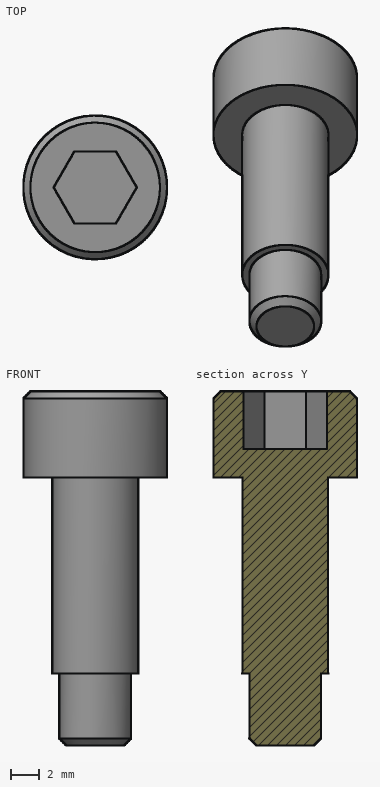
import cadquery as cq
import math

head_diameter = 10.0
head_height = 6.0
head_chamfer = 0.5

shoulder_diameter = 6.0
shoulder_length = 13.6

tip_diameter = 5.0
tip_length = 5.0
tip_chamfer = 0.5

socket_across_flats = 5.0
socket_depth = 4.0


def make_head():
    head = cq.Workplane("XY").circle(head_diameter / 2).extrude(head_height)
    return head.faces(">Z").chamfer(head_chamfer)


def make_shoulder():
    return cq.Workplane("XY").circle(shoulder_diameter / 2).extrude(-shoulder_length)


def make_tip():
    shoulder_end = cq.Workplane("XY").workplane(offset=-shoulder_length)
    tip = shoulder_end.circle(tip_diameter / 2).extrude(-tip_length)
    return tip.faces("<Z").chamfer(tip_chamfer)


def make_socket():
    """Hexagonal key socket with two corners on the X axis."""
    across_corners = socket_across_flats / math.cos(math.pi / 6)
    head_top = cq.Workplane("XY").workplane(offset=head_height)
    return head_top.polygon(6, across_corners).extrude(-socket_depth)


result = make_head().union(make_shoulder()).union(make_tip()).cut(make_socket())